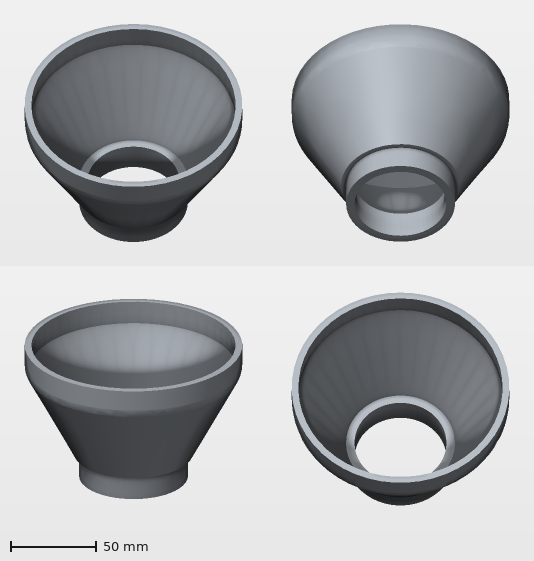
import cadquery as cq

total_height = 85.0
neck_height = 15.0
rim_height = 15.0
rim_base = total_height - rim_height
ledge_height = 18.0
inner_rim_depth = 14.0
inner_rim_base = total_height - inner_rim_depth

rim_radius = 64.0
rim_inner_radius = 60.0
cone_base_radius = 35.0
neck_radius = 32.0
ledge_radius = 32.0
bore_radius = 27.0

shoulder_fillet = 10.0


def revolve_profile(points):
    """Revolve a closed (radius, height) outline around the Z axis."""
    return cq.Workplane("XZ").polyline(points).close().revolve(360, (0, 0), (0, 1))


body = revolve_profile([
    (0, 0),
    (neck_radius, 0),
    (neck_radius, neck_height),
    (cone_base_radius, neck_height),
    (rim_radius, rim_base),
    (rim_radius, total_height),
    (0, total_height),
])

shoulder_probe = (0, -rim_radius, rim_base)
shoulder = cq.selectors.NearestToPointSelector(shoulder_probe)
body = body.edges("%CIRCLE").edges(shoulder).fillet(shoulder_fillet)

cavity = revolve_profile([
    (0, 0),
    (bore_radius, 0),
    (bore_radius, ledge_height),
    (ledge_radius, ledge_height),
    (rim_inner_radius, inner_rim_base),
    (rim_inner_radius, total_height),
    (0, total_height),
])

result = body.cut(cavity)